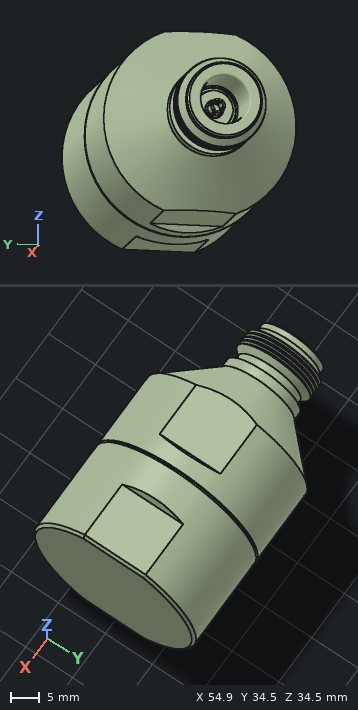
import cadquery as cq
import math

length = 54.9
body_radius = 17.25

thread_start = 1.55
collar_start = 9.1
cone_start = 11.05
joint_x = 35.5

neck_radius = 6.7
neck_chamfer = 0.35
crest_radius = 7.9
thread_depth = 0.5
thread_pitch = 0.8
crest_flat = 0.2
groove_count = 4

cone_end = cone_start + body_radius - crest_radius

joint_size = 0.5

end_chamfer = 0.55

flat_height = 16.0
front_flat_end = 31.5
rear_flat_start = 42.95
ramp_run = (body_radius - flat_height) / math.tan(math.radians(60))

socket_radius = 4.3
mouth_fillet = 0.5
socket_depth = 9.0
seat_radius = 3.95
seat_depth = 0.55
insulator_radius = 3.4

shoulder_radius = 1.6
shoulder_length = 0.55
pin_radius = 1.25
pin_length = 3.3
pin_hole_radius = 0.9
pin_hole_depth = 2.75
drill_half_angle = 59
slot_width = 0.45
slot_depth = 1.65
slot_angles = (22.5, 112.5)


def revolve_about_x(points):
    """Close an (x, radius) outline and turn it about the X axis."""
    return cq.Workplane("XY").polyline(points).close().revolve(360, (0, 0, 0), (1, 0, 0))


def connector_outline():
    """Neck, thread and collar outline; the thread run-outs are at 45 degrees."""
    run_out = crest_radius - neck_radius
    first_crest = thread_start + run_out
    points = [
        (0, 0),
        (0, neck_radius - neck_chamfer),
        (neck_chamfer, neck_radius),
        (thread_start, neck_radius),
        (first_crest, crest_radius),
    ]
    for groove in range(groove_count):
        groove_start = first_crest + groove * thread_pitch + crest_flat / 2
        groove_end = groove_start + thread_pitch - crest_flat
        points += [
            (groove_start, crest_radius),
            ((groove_start + groove_end) / 2, crest_radius - thread_depth),
            (groove_end, crest_radius),
        ]
    last_crest = first_crest + groove_count * thread_pitch
    points += [
        (last_crest, crest_radius),
        (last_crest + run_out, neck_radius),
        (collar_start, neck_radius),
        (collar_start, crest_radius),
        (cone_start, crest_radius),
    ]
    return points


def outer_body():
    points = connector_outline() + [
        (cone_end, body_radius),
        (joint_x, body_radius),
        (joint_x, body_radius - joint_size),
        (joint_x + joint_size, body_radius),
        (length, body_radius),
        (length, 0),
    ]
    return revolve_about_x(points)


def flat_cutter(floor_end, outward, side):
    """Ramp-ended block above a flat; outward is the X direction from the ramp to the open end."""
    open_end = length if outward > 0 else cone_start
    rise = body_radius - flat_height
    overshoot = 2
    top = flat_height + overshoot * rise
    points = [
        (floor_end, side * flat_height),
        (floor_end - outward * overshoot * ramp_run, side * top),
        (open_end, side * top),
        (open_end, side * flat_height),
    ]
    return cq.Workplane("XZ").polyline(points).close().extrude(body_radius, both=True)


def socket():
    """Stepped bore with a rounded mouth and a shallow seat around the insulator."""
    mouth_radius = socket_radius + mouth_fillet
    seat_floor = socket_depth + seat_depth
    arc_middle = mouth_fillet * math.sqrt(0.5)
    outline = (
        cq.Workplane("XY")
        .lineTo(0, mouth_radius)
        .threePointArc(
            (mouth_fillet - arc_middle, mouth_radius - arc_middle),
            (mouth_fillet, socket_radius),
        )
        .lineTo(socket_depth, socket_radius)
        .lineTo(socket_depth, seat_radius)
        .lineTo(seat_floor, seat_radius)
        .lineTo(seat_floor, insulator_radius)
        .lineTo(socket_depth, insulator_radius)
        .lineTo(socket_depth, 0)
        .close()
    )
    return outline.revolve(360, (0, 0, 0), (1, 0, 0))


def center_pin():
    """Hollow contact standing on the socket floor, split into four fingers by two cross slots."""
    tip_x = socket_depth - pin_length
    shoulder_x = socket_depth - shoulder_length
    hole_end = tip_x + pin_hole_depth
    hole_point = hole_end + pin_hole_radius / math.tan(math.radians(drill_half_angle))
    root_x = socket_depth + seat_depth
    pin = revolve_about_x([
        (hole_point, 0),
        (hole_end, pin_hole_radius),
        (tip_x, pin_hole_radius),
        (tip_x, pin_radius),
        (shoulder_x, pin_radius),
        (shoulder_x, shoulder_radius),
        (root_x, shoulder_radius),
        (root_x, 0),
    ])
    slot = (
        cq.Workplane("XY")
        .box(slot_depth, 2 * shoulder_radius, slot_width)
        .translate((tip_x + slot_depth / 2, 0, 0))
    )
    for angle in slot_angles:
        pin = pin.cut(slot.rotate((0, 0, 0), (1, 0, 0), angle))
    return pin


body = outer_body()
for side in (1, -1):
    body = body.cut(flat_cutter(front_flat_end, -1, side))
    body = body.cut(flat_cutter(rear_flat_start, 1, side))
body = body.faces(">X").chamfer(end_chamfer)

result = body.cut(socket()).union(center_pin())